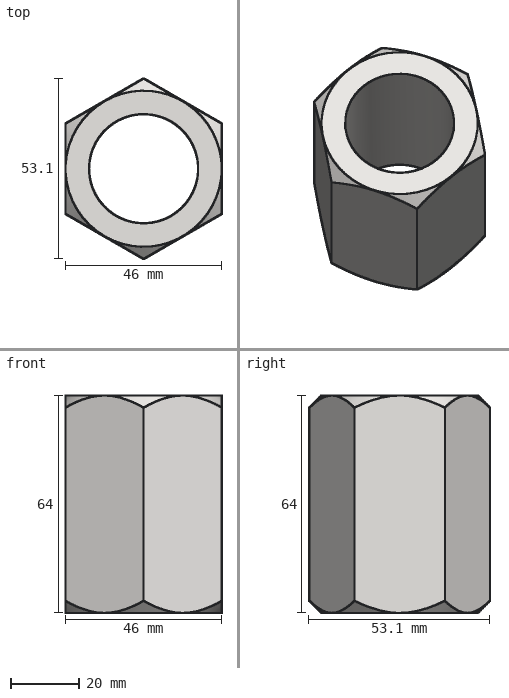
import cadquery as cq
import math

length = 64.0
across_flats = 46.0
bore_diameter = 32.0
end_face_diameter = 45.9

across_corners = across_flats / math.cos(math.radians(30))
corner_radius = across_corners / 2
end_face_radius = end_face_diameter / 2
turning_radius = corner_radius + 0.65
cone_height = turning_radius - end_face_radius


def hexagonal_bar():
    """Hexagonal prism along Z, with flats facing X and corners on Y."""
    bar = cq.Workplane("XY").polygon(6, across_corners).extrude(length)
    return bar.rotate((0, 0, 0), (0, 0, 1), 30)


def turned_envelope():
    """Cylinder with conical ends that trims the hexagon corners."""
    cylinder = cq.Workplane("XY").circle(turning_radius).extrude(length)
    return cylinder.faces("<Z or >Z").chamfer(cone_height)


result = hexagonal_bar().intersect(turned_envelope())
result = result.faces(">Z").workplane(origin=(0, 0, length)).hole(bore_diameter)